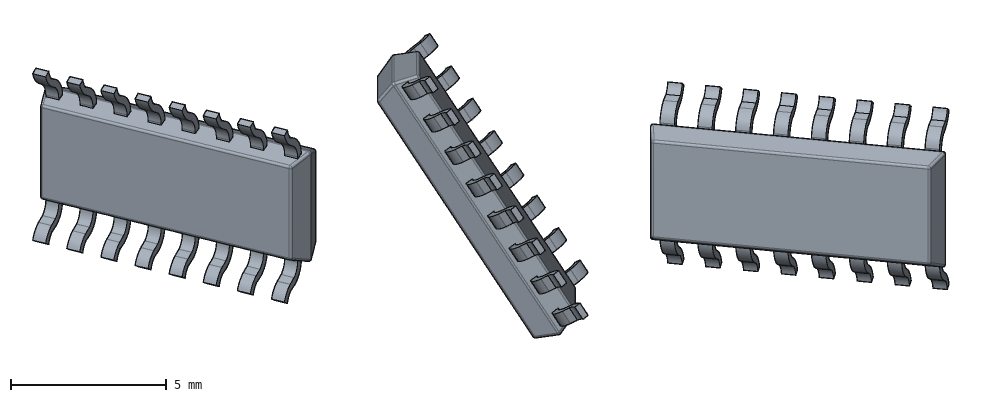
import cadquery as cq
import math

body_length = 9.89
body_width = 3.9
body_thickness = 1.6
end_inset = 0.29
side_inset = 0.31
edge_radius = 0.1

leads_per_side = 8
lead_pitch = 1.27
lead_width = 0.48
lead_span = 6.12
lead_reach = 1.25
lead_root_depth = 0.3

half_thickness = body_thickness / 2
lead_tip = lead_span / 2


def rounding_loss(inset):
    """Distance the rounded parting line lies inside the sharp one."""
    half_angle = math.atan(inset / half_thickness)
    return edge_radius * (1 / math.cos(half_angle) - 1)


def body_half(direction):
    """Sharp-edged frustum on one side of the parting line; direction is +1 or -1 along Y."""
    length = body_length + 2 * rounding_loss(end_inset)
    width = body_width + 2 * rounding_loss(side_inset)
    return (
        cq.Workplane("XZ")
        .rect(length, width)
        .workplane(offset=direction * half_thickness)
        .rect(length - 2 * end_inset, width - 2 * side_inset)
        .loft(ruled=True)
    )


def make_body():
    return body_half(1).union(body_half(-1)).edges().fillet(edge_radius)


def make_lead():
    """Upper lead centered on X = 0: out of the body, bent forward, then bent outward again."""
    outer_root = (-0.18, 1.95)
    outer_first_bend_end = (-0.57, 2.58)
    outer_second_bend_start = (-0.84, 2.7)
    outer_tip = (-1.05, lead_tip)
    inner_tip = (-lead_reach, 2.94)
    inner_second_bend_start = (-0.88, 2.45)
    inner_first_bend_end = (-0.63, 2.31)
    inner_root = (-0.42, 1.86)
    outer_first_bulge = 0.083
    outer_second_bulge = 0.036
    inner_second_bulge = 0.051
    inner_first_bulge = 0.054

    buried_z = inner_root[1] - lead_root_depth
    return (
        cq.Workplane("YZ")
        .moveTo(outer_root[0], buried_z)
        .lineTo(*outer_root)
        .sagittaArc(outer_first_bend_end, -outer_first_bulge)
        .lineTo(*outer_second_bend_start)
        .sagittaArc(outer_tip, outer_second_bulge)
        .lineTo(*inner_tip)
        .sagittaArc(inner_second_bend_start, -inner_second_bulge)
        .lineTo(*inner_first_bend_end)
        .sagittaArc(inner_root, inner_first_bulge)
        .lineTo(inner_root[0], buried_z)
        .close()
        .extrude(lead_width / 2, both=True)
    )


result = make_body()
upper_lead = make_lead()
lower_lead = upper_lead.mirror("XY")
for index in range(leads_per_side):
    lead_x = (index - (leads_per_side - 1) / 2) * lead_pitch
    for lead in (upper_lead, lower_lead):
        result = result.union(lead.translate((lead_x, 0, 0)))